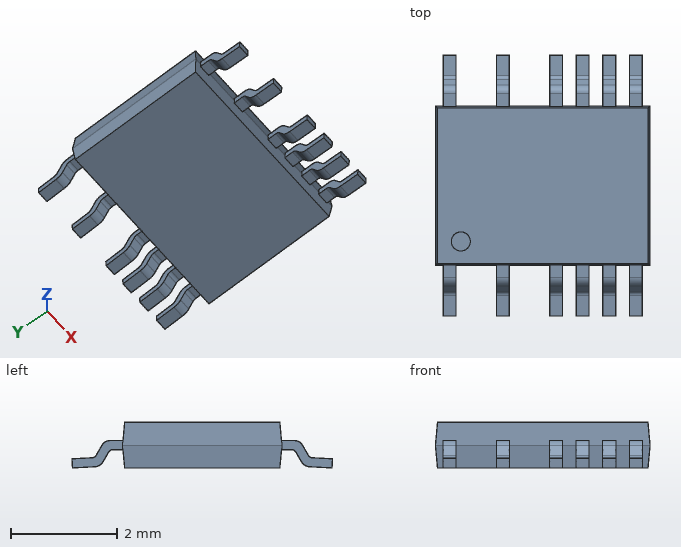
import cadquery as cq
import math

body_length = 4.04
body_width = 3.0
body_height = 0.86
parting_height = 0.42
side_taper = 0.04

dimple_diameter = 0.36
dimple_depth = 0.05
dimple_x = -1.54
dimple_y = -1.05

lead_span = 4.9
lead_width = 0.245
lead_pitch = 0.5
lead_thickness = 0.175
slots_per_side = 8
empty_slots = (1, 3)
shoulder_top = 0.52
leg_angle = math.radians(60)
foot_angle = math.radians(3)
foot_length = 0.43
shoulder_outer_radius = 0.18
shoulder_inner_radius = 0.09
foot_inner_radius = 0.09
foot_outer_radius = 0.195
root_depth = 0.245


def make_body_half(half_height):
    """Taper from the parting plane to the end face, up or down with the sign of the height."""
    return (
        cq.Workplane("XY", origin=(0, 0, parting_height))
        .rect(body_length, body_width)
        .workplane(offset=half_height)
        .rect(body_length - 2 * side_taper, body_width - 2 * side_taper)
        .loft(ruled=True)
    )


def make_dimple():
    return (
        cq.Workplane("XY", origin=(dimple_x, dimple_y, body_height))
        .circle(dimple_diameter / 2)
        .extrude(-dimple_depth)
    )


def make_lead():
    """Lead on the +Y side, centred on X = 0, with its lowest foot corner on Z = 0."""
    tip_y = lead_span / 2
    tip_z = lead_thickness * math.cos(foot_angle)
    foot_bend_y = tip_y - foot_length * math.cos(foot_angle)
    foot_bend_z = tip_z + foot_length * math.sin(foot_angle)
    shoulder_bend_y = foot_bend_y - (shoulder_top - foot_bend_z) / math.tan(leg_angle)

    shoulder_shift = lead_thickness * math.tan(leg_angle / 2)
    shoulder_bottom = shoulder_top - lead_thickness
    half_bend = (leg_angle - foot_angle) / 2
    bisector_angle = (leg_angle + foot_angle) / 2
    bisector_length = lead_thickness / math.cos(half_bend)
    lower_bend_y = foot_bend_y - bisector_length * math.sin(bisector_angle)
    lower_bend_z = foot_bend_z - bisector_length * math.cos(bisector_angle)

    upper_foot_bend = (foot_bend_y, foot_bend_z)
    upper_shoulder_bend = (shoulder_bend_y, shoulder_top)
    lower_shoulder_bend = (shoulder_bend_y - shoulder_shift, shoulder_bottom)
    lower_foot_bend = (lower_bend_y, lower_bend_z)
    root_y = body_width / 2 - root_depth
    lead = (
        cq.Workplane("YZ")
        .polyline([
            (tip_y, tip_z),
            upper_foot_bend,
            upper_shoulder_bend,
            (root_y, shoulder_top),
            (root_y, shoulder_bottom),
            lower_shoulder_bend,
            lower_foot_bend,
            (tip_y - lead_thickness * math.sin(foot_angle), 0),
        ])
        .close()
        .extrude(lead_width / 2, both=True)
    )

    bends = (
        (upper_foot_bend, foot_inner_radius),
        (upper_shoulder_bend, shoulder_outer_radius),
        (lower_shoulder_bend, shoulder_inner_radius),
        (lower_foot_bend, foot_outer_radius),
    )
    for (bend_y, bend_z), radius in bends:
        bend_edge = cq.selectors.NearestToPointSelector((0, bend_y, bend_z))
        lead = lead.edges("|X").edges(bend_edge).fillet(radius)
    return lead


body = make_body_half(body_height - parting_height).union(make_body_half(-parting_height))
result = body.cut(make_dimple())

back_lead = make_lead()
front_lead = back_lead.mirror("XZ")
for slot in range(slots_per_side):
    if slot in empty_slots:
        continue
    slot_x = (slot - (slots_per_side - 1) / 2) * lead_pitch
    for lead in (back_lead, front_lead):
        result = result.union(lead.translate((slot_x, 0, 0)))